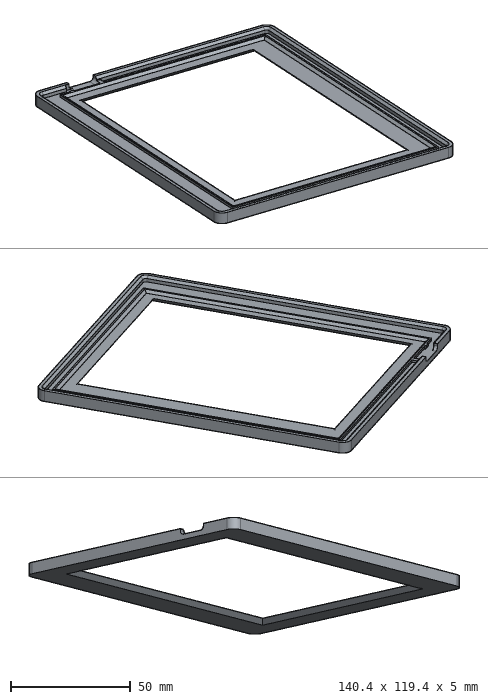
import cadquery as cq

length = 140.4
width = 119.4
height = 5.0
corner_radius = 4.0

rim_bevel_bottom = 3.9
lip_top = 3.4
channel_floor = 2.35
shelf_level = 2.25

rim_width = 1.6
rim_bevel_width = height - rim_bevel_bottom
rim_inner_radius = corner_radius - rim_width

lip_side_inset = 5.5
lip_back_inset = 5.5
lip_front_inset = 10.5
lip_thickness = 0.8
lip_bevel_width = 1.25

window_length = 115.6
window_width = 86.8
window_center_y = -0.1

port_back_y = -28.9
port_front_y = -42.1
port_fillet = 1.7
rib_thickness = 1.9

passage_start = 1.7
passage_end = 4.9

left_x = -length / 2
lip_length = length - 2 * lip_side_inset
lip_width = width - lip_back_inset - lip_front_inset
lip_center_y = (lip_front_inset - lip_back_inset) / 2
seat_length = lip_length - 2 * lip_thickness
seat_width = lip_width - 2 * lip_thickness
rib_end_x = left_x + lip_side_inset + lip_thickness / 2


def block(x_min, x_max, y_min, y_max, z_min, z_max):
    """Axis-aligned box given by its limits."""
    size = (x_max - x_min, y_max - y_min, z_max - z_min)
    return cq.Workplane("XY").box(*size, centered=False).translate((x_min, y_min, z_min))


def plate(size_x, size_y, z_min, z_max, radius=0.0, center_y=0.0):
    """Rectangular plate with optional rounded vertical corners."""
    body = cq.Workplane("XY").box(size_x, size_y, z_max - z_min, centered=(True, True, False))
    if radius > 0:
        body = body.edges("|Z").fillet(radius)
    return body.translate((0, center_y, z_min))


def beveled_pocket(size_x, size_y, z_wide, z_narrow, bevel_width, radius=0.0, center_y=0.0):
    """Pocket volume whose four sides lean inward from z_wide to z_narrow."""

    def outline(inset):
        sketch = cq.Sketch().rect(size_x - 2 * inset, size_y - 2 * inset)
        if radius > inset:
            sketch = sketch.vertices().fillet(radius - inset)
        return sketch

    wide = outline(0).moved(cq.Location(cq.Vector(0, center_y, z_wide)))
    narrow = outline(bevel_width).moved(cq.Location(cq.Vector(0, center_y, z_narrow)))
    return cq.Workplane("XY").placeSketch(wide, narrow).loft()


def make_frame():
    """Outer body with the beveled rim and the channel inside it."""
    opening_length = length - 2 * rim_width
    opening_width = width - 2 * rim_width
    bevel = beveled_pocket(
        opening_length, opening_width, height, rim_bevel_bottom, rim_bevel_width, rim_inner_radius
    )
    channel = plate(
        opening_length - 2 * rim_bevel_width,
        opening_width - 2 * rim_bevel_width,
        channel_floor,
        rim_bevel_bottom,
        rim_inner_radius - rim_bevel_width,
    )
    return plate(length, width, 0, height, corner_radius).cut(bevel).cut(channel)


def make_lip():
    """Solid block up to the lip top; the display seat is cut out of it later."""
    return plate(lip_length, lip_width, 0, lip_top, center_y=lip_center_y)


def make_ribs():
    """Two ribs joining the rim to the lip, long enough to hold the port fillets."""
    start_x = left_x + rim_width
    back_start = port_back_y - port_fillet
    front_end = port_front_y + port_fillet
    back = block(start_x, rib_end_x, back_start, port_back_y + rib_thickness, 0, lip_top)
    front = block(start_x, rib_end_x, port_front_y - rib_thickness, front_end, 0, lip_top)
    return back.union(front)


def make_port_cut():
    """Opening through the -X rim, with rounded lower corners, ending at the lip."""
    end_x = left_x + lip_side_inset
    opening = block(left_x, end_x, port_front_y, port_back_y, channel_floor, height)
    return opening.edges("|X and <Z").fillet(port_fillet)


def make_passage_cut():
    """Wire passage through the front rib at channel floor level."""
    return block(
        left_x + passage_start,
        left_x + passage_end,
        port_front_y - rib_thickness,
        port_front_y + port_fillet,
        channel_floor,
        height,
    )


def make_seat_cut():
    """Beveled display seat inside the lip."""
    return beveled_pocket(
        seat_length, seat_width, lip_top, shelf_level, lip_bevel_width, center_y=lip_center_y
    )


def make_window_cut():
    """Display window: sharp at the shelf and flared outward down to the underside."""
    return beveled_pocket(
        window_length + 2 * shelf_level,
        window_width + 2 * shelf_level,
        0,
        shelf_level,
        shelf_level,
        center_y=window_center_y,
    )


result = (
    make_frame()
    .union(make_lip())
    .union(make_ribs())
    .cut(make_port_cut())
    .cut(make_passage_cut())
    .cut(make_seat_cut())
    .cut(make_window_cut())
)